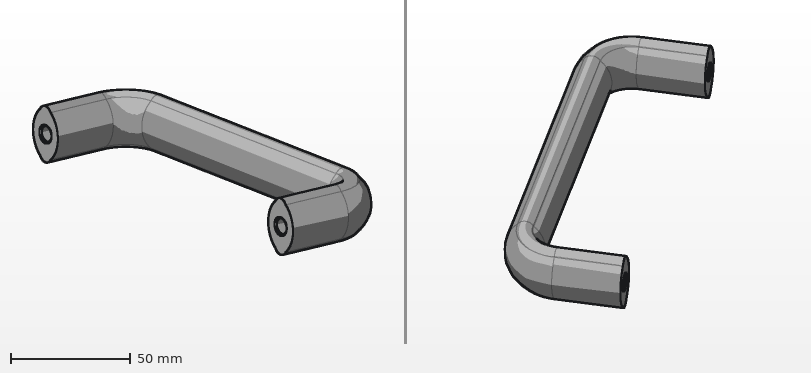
import cadquery as cq
import math

length = 177.0
projection = 55.0
grip_height = 25.0
grip_width = 17.0

seam_x = 3.5
tip_rise = 2.04
seam_z = grip_height / 2 - tip_rise

outer_bend_radius = 25.5
hole_diameter = 6.7
hole_chamfer = 0.7
hole_depth = 17.7
drill_point_angle = 118.0

leg_x = (length - grip_width) / 2
bend_radius = outer_bend_radius - grip_width / 2
foot_y = -projection / 2
bar_y = projection / 2 - grip_width / 2


def lens_section(plane):
    """Closed section of two side arcs and two tip arcs."""
    half_width = grip_width / 2
    half_height = grip_height / 2
    return (
        cq.Workplane(plane)
        .moveTo(seam_x, -seam_z)
        .threePointArc((half_width, 0), (seam_x, seam_z))
        .threePointArc((0, half_height), (-seam_x, seam_z))
        .threePointArc((-half_width, 0), (-seam_x, -seam_z))
        .threePointArc((0, -half_height), (seam_x, -seam_z))
        .close()
    )


def handle_body():
    """U-shaped bar with two straight legs and two rounded bends."""
    bend_offset = bend_radius * math.sqrt(0.5)
    bend_x = leg_x - bend_radius
    bend_y = bar_y - bend_radius
    path = (
        cq.Workplane("XY")
        .moveTo(-leg_x, foot_y)
        .lineTo(-leg_x, bend_y)
        .threePointArc((-bend_x - bend_offset, bend_y + bend_offset), (-bend_x, bar_y))
        .lineTo(bend_x, bar_y)
        .threePointArc((bend_x + bend_offset, bend_y + bend_offset), (leg_x, bend_y))
        .lineTo(leg_x, foot_y)
    )
    foot_plane = cq.Plane(origin=(-leg_x, foot_y, 0), xDir=(1, 0, 0), normal=(0, -1, 0))
    return lens_section(foot_plane).sweep(path)


def mounting_hole(x):
    """Blind drilled hole with a chamfered mouth and conical bottom, entering a foot along +Y."""
    radius = hole_diameter / 2
    point_depth = radius / math.tan(math.radians(drill_point_angle / 2))
    return (
        cq.Workplane("XY")
        .moveTo(x, foot_y)
        .lineTo(x + radius + hole_chamfer, foot_y)
        .lineTo(x + radius, foot_y + hole_chamfer)
        .lineTo(x + radius, foot_y + hole_depth)
        .lineTo(x, foot_y + hole_depth + point_depth)
        .close()
        .revolve(360, (x, foot_y, 0), (x, foot_y + 1.8, 0))
    )


result = handle_body()
for hole_x in (-leg_x, leg_x):
    result = result.cut(mounting_hole(hole_x))